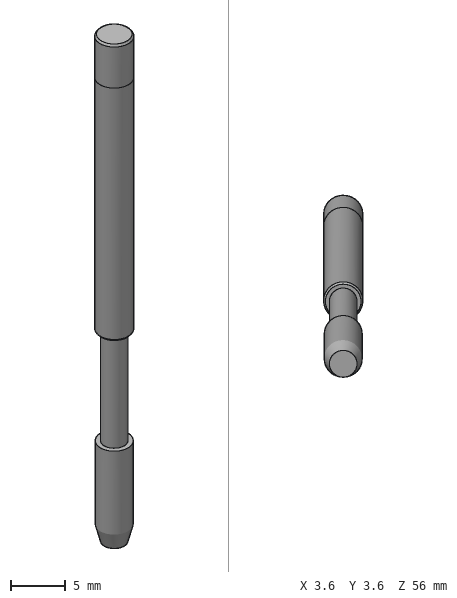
import cadquery as cq

total_length = 56.0
cap_length = 4.75
barrel_length = 28.0
head_top = 11.1
tip_height = 1.85
barrel_top = total_length - cap_length
barrel_bottom = barrel_top - barrel_length

barrel_diameter = 3.6
head_diameter = 3.5
rod_diameter = 2.5
tip_diameter = rod_diameter

chamfer_width = 0.15
chamfer_height = 0.2

barrel_radius = barrel_diameter / 2
head_radius = head_diameter / 2
rod_radius = rod_diameter / 2
tip_radius = tip_diameter / 2
rim_radius = barrel_radius - chamfer_width


def revolve_about_z(half_profile):
    """Turn a closed (radius, height) outline into a solid of revolution about Z."""
    return cq.Workplane("XZ").polyline(half_profile).close().revolve(360, (0, 0), (0, 1))


def make_pin():
    """Pin with a tapered tip, a head, a slim rod and a thick barrel chamfered below."""
    return revolve_about_z([
        (0, 0),
        (tip_radius, 0),
        (head_radius, tip_height),
        (head_radius, head_top),
        (rod_radius, head_top),
        (rod_radius, barrel_bottom),
        (rim_radius, barrel_bottom),
        (barrel_radius, barrel_bottom + chamfer_height),
        (barrel_radius, barrel_top),
        (0, barrel_top),
    ])


def make_cap():
    """Cap seated flush on the barrel, with a chamfered top rim."""
    return revolve_about_z([
        (0, barrel_top),
        (barrel_radius, barrel_top),
        (barrel_radius, total_length - chamfer_height),
        (rim_radius, total_length),
        (0, total_length),
    ])


pin = make_pin()
cap = make_cap()

result = cq.Compound.makeCompound([pin.val(), cap.val()])